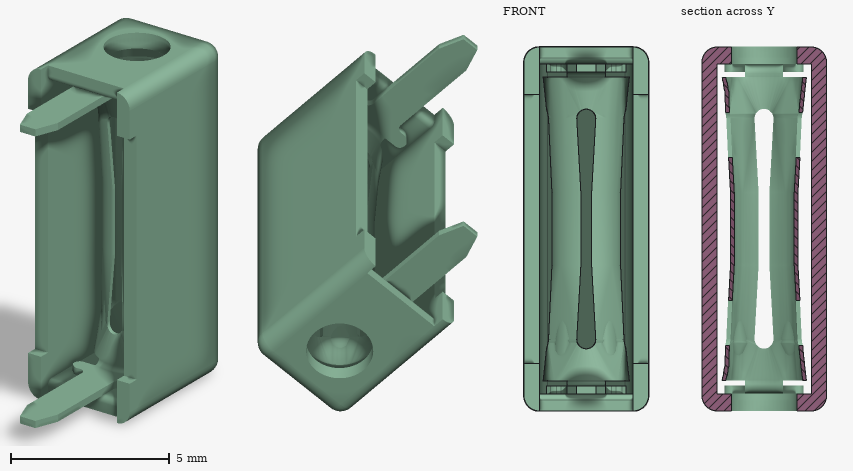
import cadquery as cq
import math


width = 3.95
height = 11.5
housing_depth = 5.12
wall = 0.5
end_wall = 0.55
outer_radius = 0.5
cavity_corner_radius = 0.25
front_recess = 0.38
corner_lug_height = 1.5
lead_in_radius = 0.2
access_hole_diameter = 2.12

total_depth = 7.89
pin_thickness = 0.25
pin_width = 1.2
pin_tip_width = 0.6
pin_taper_length = 0.8
shoulder_width = 2.5
shoulder_length = 0.5
shoulder_overlap = 0.08
shoulder_chamfer = 0.2
shoulder_front_radius = 0.25
shoulder_back_radius = 0.2
pin_root_radius = 0.2
bend_radius = 0.16
socket_wall = 0.13
socket_end_radius = 1.36
socket_waist_radius = 1.08
slot_end_spacing = 6.96
slot_end_width = 0.6
slot_waist_width = 0.34
slot_waist_length = 2.3

mid_height = height / 2
back_y = width / 2
lug_front_y = back_y - housing_depth
recess_y = lug_front_y + front_recess
pin_tip_y = back_y - total_depth
pin_bottom = end_wall
pin_top = pin_bottom + pin_thickness
socket_bottom = pin_top + bend_radius
socket_bore_radius = socket_end_radius - socket_wall
bend_axis_radius = socket_end_radius + bend_radius
shoulder_back_y = -bend_axis_radius + shoulder_overlap
shoulder_front_y = shoulder_back_y - shoulder_length

selection_margin = 0.01


def box(size_x, y_min, y_max, z_min, z_max):
    """Box centred on X, between the given Y and Z limits."""
    return (
        cq.Workplane("XY")
        .box(size_x, y_max - y_min, z_max - z_min, centered=(True, False, False))
        .translate((0, y_min, z_min))
    )


def edges_within(body, size_x, y, z_min, z_max):
    """Select the edges of body in the plane at y, inside a window centred on X."""
    half = size_x / 2 + selection_margin
    low = (-half, y - selection_margin, z_min - selection_margin)
    high = (half, y + selection_margin, z_max + selection_margin)
    return body.edges(cq.selectors.BoxSelector(low, high, boundingbox=True))


def make_housing():
    inner_width = width - 2 * wall
    body = box(width, lug_front_y, back_y, 0, height)
    body = body.edges("|Y or >Y").fillet(outer_radius)

    cavity = box(inner_width, lug_front_y, back_y - wall, end_wall, height - end_wall)
    cavity = cavity.edges("|Z and >Y").fillet(cavity_corner_radius)
    body = body.cut(cavity)

    end_recess = box(inner_width, lug_front_y, recess_y, 0, height)
    window = box(width, lug_front_y, recess_y, corner_lug_height, height - corner_lug_height)
    body = body.cut(end_recess).cut(window)

    for edge_z in (end_wall, height - end_wall):
        body = edges_within(body, inner_width, recess_y, edge_z, edge_z).fillet(lead_in_radius)

    access_holes = cq.Workplane("XY").circle(access_hole_diameter / 2).extrude(height)
    return body.cut(access_holes)


def make_slot_cutter():
    """Waisted slot with rounded ends, running through the socket along Y."""
    end_half = slot_end_width / 2
    waist_half = slot_waist_width / 2
    end_z = slot_end_spacing / 2
    waist_z = slot_waist_length / 2
    return (
        cq.Workplane("XZ")
        .moveTo(end_half, -end_z)
        .lineTo(waist_half, -waist_z)
        .lineTo(waist_half, waist_z)
        .lineTo(end_half, end_z)
        .threePointArc((0, end_z + end_half), (-end_half, end_z))
        .lineTo(-waist_half, waist_z)
        .lineTo(-waist_half, -waist_z)
        .lineTo(-end_half, -end_z)
        .threePointArc((0, -end_z - end_half), (end_half, -end_z))
        .close()
        .extrude(socket_end_radius, both=True)
        .translate((0, 0, mid_height))
    )


def make_socket():
    """Thin waisted tube with four slots."""
    socket_top = height - socket_bottom
    waist_bore_radius = socket_waist_radius - socket_wall
    tube = (
        cq.Workplane("XZ")
        .moveTo(socket_bore_radius, socket_bottom)
        .lineTo(socket_end_radius, socket_bottom)
        .threePointArc((socket_waist_radius, mid_height), (socket_end_radius, socket_top))
        .lineTo(socket_bore_radius, socket_top)
        .threePointArc((waist_bore_radius, mid_height), (socket_bore_radius, socket_bottom))
        .close()
        .revolve(360, (0, 0, 0), (0, 1, 0))
    )
    slot = make_slot_cutter()
    for angle in (0, 90):
        tube = tube.cut(slot.rotate((0, 0, 0), (0, 0, 1), angle))
    return tube


def make_pin_bend():
    """Strip curving from the socket's lower rim out into the pin."""
    outside_radius = bend_radius + socket_wall
    diagonal = math.sqrt(0.5)
    inside_centre_z = pin_top + bend_radius
    outside_centre_z = pin_bottom + outside_radius
    inside_middle = (
        bend_axis_radius - bend_radius * diagonal,
        inside_centre_z - bend_radius * diagonal,
    )
    outside_middle = (
        bend_axis_radius - outside_radius * diagonal,
        outside_centre_z - outside_radius * diagonal,
    )
    ring = (
        cq.Workplane("XZ")
        .moveTo(socket_bore_radius, socket_bottom)
        .lineTo(socket_bore_radius, outside_centre_z)
        .threePointArc(outside_middle, (bend_axis_radius, pin_bottom))
        .lineTo(bend_axis_radius, pin_top)
        .threePointArc(inside_middle, (socket_end_radius, socket_bottom))
        .close()
        .revolve(360, (0, 0, 0), (0, 1, 0))
    )
    return ring.intersect(box(pin_width, -bend_axis_radius, 0, pin_bottom, socket_bottom))


def make_pin():
    """Flat pin with chamfered, rounded shoulders at its root and a tapered tip."""
    shoulder = box(shoulder_width, shoulder_front_y, shoulder_back_y, pin_bottom, pin_top)
    shoulder = shoulder.edges("|Z and >Y").fillet(shoulder_back_radius)
    shoulder = shoulder.edges("|Z and <Y").chamfer(shoulder_chamfer)
    shoulder = shoulder.edges("|Z and <Y").fillet(shoulder_front_radius)

    half = pin_width / 2
    tip_half = pin_tip_width / 2
    taper_y = pin_tip_y + pin_taper_length
    blade = (
        cq.Workplane("XY")
        .workplane(offset=pin_bottom)
        .moveTo(-half, 0)
        .lineTo(-half, taper_y)
        .lineTo(-tip_half, pin_tip_y)
        .lineTo(tip_half, pin_tip_y)
        .lineTo(half, taper_y)
        .lineTo(half, 0)
        .close()
        .extrude(pin_thickness)
    )
    pin = shoulder.union(blade)
    pin = edges_within(pin, pin_width, shoulder_front_y, pin_bottom, pin_top).fillet(pin_root_radius)

    bend_space = cq.Workplane("XY").circle(bend_axis_radius).extrude(pin_top)
    bend_space = bend_space.intersect(box(pin_width, -bend_axis_radius, 0, 0, pin_top))
    return pin.cut(bend_space).union(make_pin_bend())


def make_contact():
    contact = make_socket()
    lower_pin = make_pin()
    upper_pin = lower_pin.mirror("XY", (0, 0, mid_height))
    return contact.union(lower_pin).union(upper_pin)


housing = make_housing()
contact = make_contact()
result = cq.Compound.makeCompound([*housing.solids().vals(), *contact.solids().vals()])